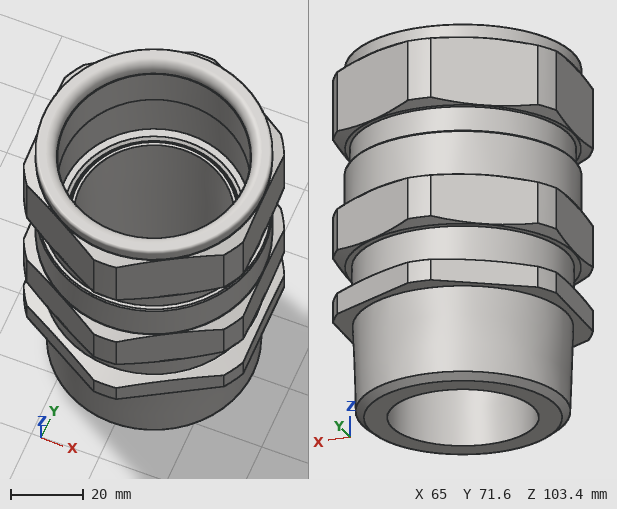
import cadquery as cq
import math

TOTAL_HEIGHT = 103.4
HEX_ACROSS_FLATS = 65.0
HEX_CORNER_RADIUS = 35.8
HEX_CHAMFER_RADIUS = 32.3
HEX_TOP_CHAMFER_HEIGHT = 1.1
HEX_BOTTOM_CHAMFER_HEIGHT = 1.3

TAPER_TIP_RADIUS = 29.5
TAPER_TOP_RADIUS = 30.3
TIP_CHAMFER_WIDTH = 2.3
TIP_CHAMFER_HEIGHT = 1.9
FLANGE_BOTTOM = 26.8
FLANGE_TOP = 33.9
FLANGE_CHAMFER_RADIUS = 31.0
FLANGE_CHAMFER_HEIGHT = 1.0
SLEEVE_RADIUS = 30.5
SLEEVE_TOP = 68.5
ENTRY_BORE_BOTTOM_RADIUS = 20.8
ENTRY_BORE_TOP_RADIUS = 22.0
GROOVE_INNER_RADIUS = 22.9
GROOVE_FLOOR_INNER_RADIUS = 23.4
GROOVE_FLOOR_OUTER_RADIUS = 23.8
GROOVE_OUTER_RADIUS = 24.8
GROOVE_DEPTH = 0.6

BODY_BOTTOM = 44.3
BODY_HEX_TOP = 58.9
COLLAR_RADIUS = HEX_ACROSS_FLATS / 2
COLLAR_TOP = 71.9
COLLAR_CHAMFER = 0.4
SPIGOT_RADIUS = 31.0
SPIGOT_TOP = 85.7
SLEEVE_END_GAP = 1.2
MAIN_BORE_RADIUS = 26.5

NUT_BOTTOM = 79.4
NUT_HEX_TOP = 99.3
NUT_RIM_RADIUS = HEX_ACROSS_FLATS / 2
RIM_FILLET = 0.8
MOUTH_FILLET = 2.9
MOUTH_RADIUS = 26.7
MOUTH_STEP_HEIGHT = 99.5


def cylinder(radius, bottom, top):
    return cq.Workplane("XY").workplane(offset=bottom).circle(radius).extrude(top - bottom)


def revolved(profile):
    """Turn a closed (radius, height) profile about the Z axis."""
    return cq.Workplane("XZ").polyline(profile).close().revolve(360, (0, 0, 0), (0, 1, 0))


def hexagon(bottom, top, top_radius, top_chamfer, bottom_radius=HEX_CORNER_RADIUS, bottom_chamfer=0.0):
    """Hexagon with corners on the Y axis, rounded and chamfered at the corners."""
    across_corners = HEX_ACROSS_FLATS / math.cos(math.pi / 6)
    prism = (
        cq.Workplane("XY")
        .workplane(offset=bottom)
        .transformed(rotate=(0, 0, 90))
        .polygon(6, across_corners)
        .extrude(top - bottom)
    )
    lower_edge = [(HEX_CORNER_RADIUS, bottom + bottom_chamfer)]
    if bottom_chamfer:
        lower_edge.insert(0, (bottom_radius, bottom))
    upper_edge = [(HEX_CORNER_RADIUS, top - top_chamfer), (top_radius, top)]
    return prism.intersect(revolved([(0, bottom)] + lower_edge + upper_edge + [(0, top)]))


def nut_hexagon(bottom, top):
    """Hexagon chamfered at both ends."""
    return hexagon(
        bottom,
        top,
        top_radius=HEX_CHAMFER_RADIUS,
        top_chamfer=HEX_TOP_CHAMFER_HEIGHT,
        bottom_radius=HEX_CHAMFER_RADIUS,
        bottom_chamfer=HEX_BOTTOM_CHAMFER_HEIGHT,
    )


def make_entry():
    tapered_end = revolved([
        (0, 0),
        (TAPER_TIP_RADIUS - TIP_CHAMFER_WIDTH, 0),
        (TAPER_TIP_RADIUS, TIP_CHAMFER_HEIGHT),
        (TAPER_TOP_RADIUS, FLANGE_BOTTOM),
        (0, FLANGE_BOTTOM),
    ])
    flange = hexagon(FLANGE_BOTTOM, FLANGE_TOP, FLANGE_CHAMFER_RADIUS, FLANGE_CHAMFER_HEIGHT)
    sleeve = cylinder(SLEEVE_RADIUS, FLANGE_TOP, SLEEVE_TOP)
    bore = revolved([
        (0, 0),
        (ENTRY_BORE_BOTTOM_RADIUS, 0),
        (ENTRY_BORE_TOP_RADIUS, SLEEVE_TOP),
        (0, SLEEVE_TOP),
    ])
    groove_floor = SLEEVE_TOP - GROOVE_DEPTH
    end_groove = revolved([
        (GROOVE_INNER_RADIUS, SLEEVE_TOP),
        (GROOVE_FLOOR_INNER_RADIUS, groove_floor),
        (GROOVE_FLOOR_OUTER_RADIUS, groove_floor),
        (GROOVE_OUTER_RADIUS, SLEEVE_TOP),
    ])
    return tapered_end.union(flange).union(sleeve).cut(bore).cut(end_groove)


def make_body():
    collar = cylinder(COLLAR_RADIUS, BODY_HEX_TOP, COLLAR_TOP).faces(">Z").edges().chamfer(COLLAR_CHAMFER)
    spigot = cylinder(SPIGOT_RADIUS, COLLAR_TOP, SPIGOT_TOP)
    sleeve_socket = cylinder(SLEEVE_RADIUS, BODY_BOTTOM, SLEEVE_TOP + SLEEVE_END_GAP)
    main_bore = cylinder(MAIN_BORE_RADIUS, BODY_BOTTOM, SPIGOT_TOP)
    solid = nut_hexagon(BODY_BOTTOM, BODY_HEX_TOP).union(collar).union(spigot)
    return solid.cut(sleeve_socket).cut(main_bore)


def make_nut():
    rim = cylinder(NUT_RIM_RADIUS, NUT_HEX_TOP, TOTAL_HEIGHT).faces(">Z").edges().fillet(RIM_FILLET)
    spigot_socket = cylinder(SPIGOT_RADIUS, NUT_BOTTOM, SPIGOT_TOP)
    main_bore = cylinder(MAIN_BORE_RADIUS, NUT_BOTTOM, TOTAL_HEIGHT)
    mouth = cylinder(MOUTH_RADIUS, MOUTH_STEP_HEIGHT, TOTAL_HEIGHT)
    solid = nut_hexagon(NUT_BOTTOM, NUT_HEX_TOP).union(rim)
    solid = solid.cut(spigot_socket).cut(main_bore).cut(mouth)
    mouth_edge = cq.selectors.RadiusNthSelector(0)
    return solid.faces(">Z").edges(mouth_edge).fillet(MOUTH_FILLET)


entry = make_entry()
body = make_body()
nut = make_nut()

result = cq.Compound.makeCompound([entry.val(), body.val(), nut.val()])